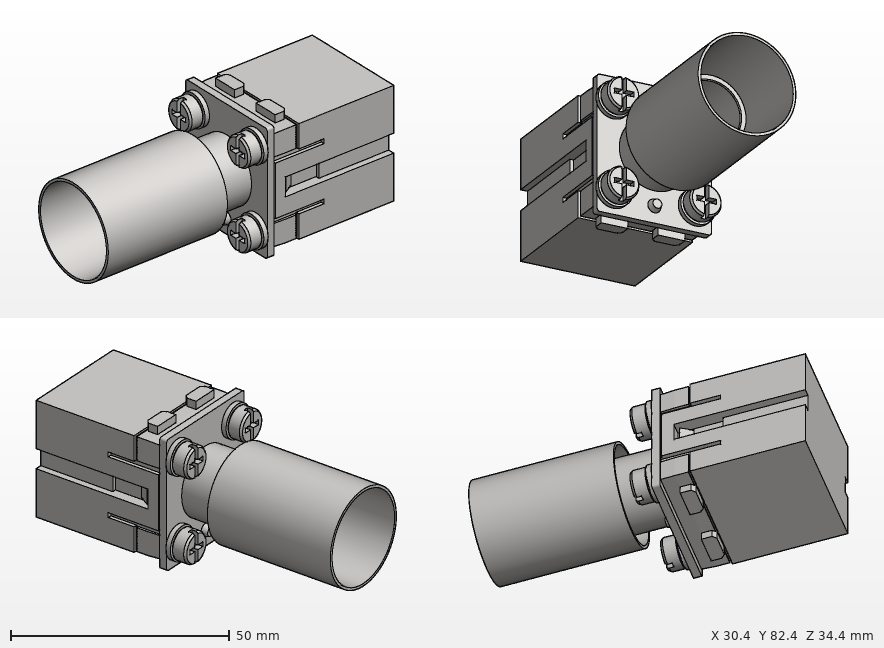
import cadquery as cq
import math


block_width = 29.7
block_height = 30.6
shoulder_y = 28.0
step_y = 31.75
plate_y = 35.3
front_width = 29.0
front_height = 30.1
front_taper = 2.5
parting_groove_width = 0.5
parting_groove_depth = 0.3

plate_height = 34.4
plate_thickness = 2.0
plate_corner = 0.7
plate_front_y = plate_y + plate_thickness

key_start_y = 28.25
key_inner_x = 3.9
key_outer_x = 10.85
key_chamfer = 0.9

tongue_half_height = 7.33
tongue_end_y = 34.9
slot_height = 1.25
front_slot_height = 1.45
slot_depth = 1.0
slot_start_y = 20.6

groove_height = 5.25
groove_depth = 1.8
deep_groove_depth = 2.8
groove_end_y = 31.9
latch_height = 4.4
latch_end_y = 30.9
latch_top_depth = 1.1

neck_diameter = 18.2
neck_bore = 15.4
bore_chamfer = 0.25

sleeve_start_y = 47.3
sleeve_end_y = 82.4
sleeve_diameter = 25.4
sleeve_bore = 24.0
neck_end_y = (sleeve_start_y + sleeve_end_y) / 2

screw_pitch_x = 21.4
screw_pitch_z = 22.4
washer_diameter = 9.0
washer_thickness = 1.3
washer_y = plate_front_y
head_y = washer_y + washer_thickness
head_end_y = 42.7
head_diameter = 8.2
head_back_chamfer = 0.35
head_front_chamfer_length = 0.6
head_front_chamfer_width = 0.4
drive_width = 1.2
drive_depth = 1.75
drive_arm_length = 5.0

stud_z = -12.9
stud_base_diameter = 3.4
stud_tip_diameter = 2.3
stud_height = 1.5


def section_plane(y, x=0, z=0):
    """Workplane across the axis at distance y; local X is X, local Y is Z, extrusion goes forward."""
    return cq.Workplane("XZ", origin=(x, -y, z))


def box(x_range, y_range, z_range):
    """Box between two X values, two forward distances and two Z values."""
    width = x_range[1] - x_range[0]
    height = z_range[1] - z_range[0]
    middle_x = sum(x_range) / 2
    middle_z = sum(z_range) / 2
    plane = section_plane(y_range[0], middle_x, middle_z)
    return plane.rect(width, height).extrude(y_range[1] - y_range[0])


def make_block():
    groove_front_y = shoulder_y + parting_groove_width
    rear = section_plane(0).rect(block_width, block_height).extrude(shoulder_y)
    groove_core = section_plane(shoulder_y).rect(
        front_width - 2 * parting_groove_depth,
        front_height - 2 * parting_groove_depth,
    )
    groove_core = groove_core.extrude(parting_groove_width)
    front = section_plane(groove_front_y).rect(front_width, front_height).extrude(step_y - groove_front_y)
    nose = section_plane(step_y).rect(front_width, front_height).extrude(plate_y - step_y, taper=front_taper)
    half_width = block_width / 2
    tongues = box(
        (-half_width, half_width),
        (shoulder_y, tongue_end_y),
        (-tongue_half_height, tongue_half_height),
    )
    return rear.union(groove_core).union(front).union(nose).union(tongues)


def make_keys():
    """Two keys running through from the lower to the upper side, chamfered at their rear corners."""
    half_height = plate_height / 2
    keys = cq.Workplane("XY")
    for x_range in [(key_inner_x, key_outer_x), (-key_outer_x, -key_inner_x)]:
        key = box(x_range, (key_start_y, step_y), (-half_height, half_height))
        keys = keys.add(key.faces(">Y").edges("|Z").chamfer(key_chamfer))
    return keys.combine()


def make_left_side_cuts():
    """Tongue slots and latch groove of the side facing -X."""
    side = -block_width / 2
    slot_x = (side, side + slot_depth)
    upper_slot = cq.Workplane("XY")
    for start_y, height in [(slot_start_y, slot_height), (shoulder_y, front_slot_height)]:
        slot_z = (tongue_half_height, tongue_half_height + height)
        upper_slot = upper_slot.add(box(slot_x, (start_y, plate_y), slot_z))
    upper_slot = upper_slot.combine()
    lower_slot = upper_slot.mirror("XY")

    groove_z = (-groove_height / 2, groove_height / 2)
    groove = box((side, side + groove_depth), (0, groove_end_y), groove_z)
    deep_groove = box((side, side + deep_groove_depth), (slot_start_y, groove_end_y), groove_z)

    latch = (
        cq.Workplane("XY")
        .moveTo(side + deep_groove_depth, -shoulder_y)
        .lineTo(side + latch_top_depth, -latch_end_y)
        .lineTo(side + deep_groove_depth, -latch_end_y)
        .close()
        .extrude(latch_height / 2, both=True)
    )
    return upper_slot.union(lower_slot).union(groove).union(deep_groove).cut(latch)


def make_plate():
    plate = section_plane(plate_y).rect(block_width, plate_height).extrude(plate_thickness)
    return plate.edges("|Y").fillet(plate_corner)


def make_neck():
    neck = section_plane(plate_front_y).circle(neck_diameter / 2).extrude(neck_end_y - plate_front_y)
    bore = section_plane(plate_front_y).circle(neck_bore / 2).extrude(neck_end_y - plate_front_y)
    neck = neck.cut(bore)
    return neck.faces("<Y").edges("%CIRCLE").edges(cq.selectors.RadiusNthSelector(0)).chamfer(bore_chamfer)


def make_screw():
    """Lock washer and cross-slotted cheese head, centred on the axis."""
    washer = section_plane(washer_y).circle(washer_diameter / 2).extrude(washer_thickness)
    head = section_plane(head_y).circle(head_diameter / 2).extrude(head_end_y - head_y)
    head = head.faces(">Y").edges().chamfer(head_back_chamfer)
    head_radius = head_diameter / 2
    drive_y = head_end_y - drive_depth
    bevel = (
        cq.Workplane("XY")
        .moveTo(head_radius - head_front_chamfer_width, -head_end_y)
        .lineTo(head_radius, -head_end_y)
        .lineTo(head_radius, head_front_chamfer_length - head_end_y)
        .close()
        .revolve(360, (0, 0), (0, 1))
    )
    long_slot = section_plane(drive_y).rect(drive_width, head_diameter).extrude(drive_depth)
    short_slot = section_plane(drive_y).rect(drive_arm_length, drive_width).extrude(drive_depth)
    return washer.union(head.cut(bevel).cut(long_slot).cut(short_slot))


def make_stud():
    taper = math.degrees(math.atan((stud_base_diameter - stud_tip_diameter) / 2 / stud_height))
    return section_plane(plate_front_y, z=stud_z).circle(stud_base_diameter / 2).extrude(stud_height, taper=taper)


def make_housing():
    side_cuts = make_left_side_cuts()
    housing = make_block().union(make_keys())
    housing = housing.cut(side_cuts).cut(side_cuts.mirror("YZ"))
    housing = housing.union(make_plate()).union(make_neck()).union(make_stud())
    screw = make_screw()
    for side_x in (-1, 1):
        for side_z in (-1, 1):
            offset = (side_x * screw_pitch_x / 2, 0, side_z * screw_pitch_z / 2)
            housing = housing.union(screw.translate(offset))
    return housing


def make_sleeve():
    ring = section_plane(sleeve_start_y).circle(sleeve_diameter / 2).circle(sleeve_bore / 2)
    return ring.extrude(sleeve_end_y - sleeve_start_y)


housing = make_housing()
sleeve = make_sleeve()

result = cq.Compound.makeCompound([housing.val(), sleeve.val()])